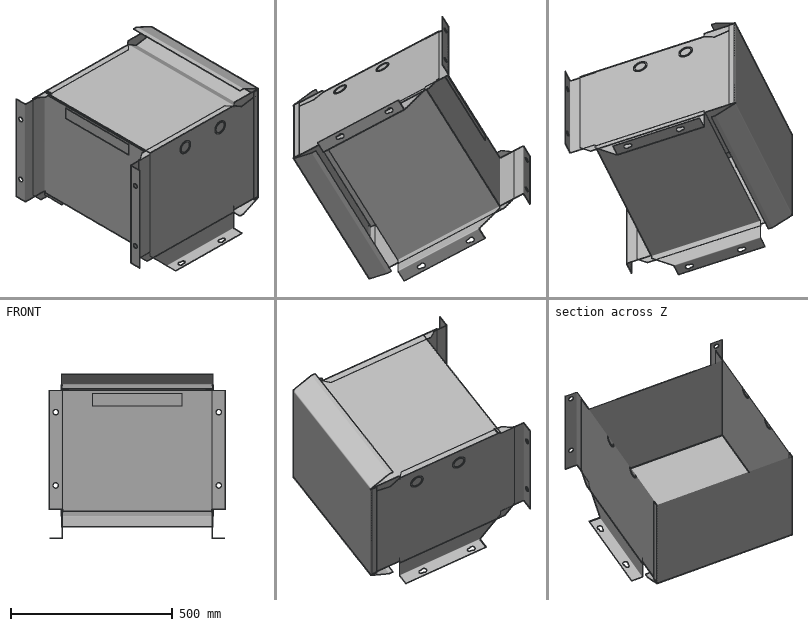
import cadquery as cq
import math


sheet = 1.95
bend_radius = 1.0
cover_bend_radius = 3.0
tight_bend_radius = 0.5

panel_half_width = 235.0
panel_bottom = 63.5
panel_front = 35.0
panel_front_chamfer = 35.0
rear_bottom = 72.0
rear_top = 478.0
rear_corner_radius = 5.5
rail_top = 464.0
rail_width = 22.0
rail_front_chamfer_length = 27.0
rail_front = 69.5
rail_rear_chamfer = 18.5
knockout_outer_radius = 23.0
knockout_inner_radius = 18.0
knockout_depth = sheet / 2
knockout_height = 414.0
knockout_places = (236.5, 388.5)

box_front = 83.5
box_rear = 449.5
depth = 555.5

front_foot_tip = 273.1
front_bottom = 90.5
front_top = 459.5
front_hole_diameter = 16.0
foot_hole_x = 253.0
front_hole_heights = (165.0, 392.0)

pane_width = 278.0
pane_height = 39.0
pane_bottom = 411.5

floor_foot_tip = 270.0
floor_top = 85.5
floor_leg_chamfer = 75.0
keyhole_diameter = 16.0
keyhole_slot_width = 11.5
keyhole_travel = 11.5
keyhole_places = (198.5, 373.5)

gutter_drop = 20.0
gutter_slope = 30.0
gutter_rear_slope = 10.0
gutter_rear = 547.0
roof_clearance = 0.45
slot_length = 21.0
slot_width = 2.0
slot_left = -231.0
slot_front = 92.0

cover_top = 511.0
cover_bottom = 35.5
cover_side_length = 21.5
cover_slope = 25.0
cover_slope_run = 66.5
cover_lip = 14.5

panel_inner = panel_half_width - sheet
leg_inner = panel_inner - sheet
box_back_face = box_front + sheet
cover_half_width = panel_half_width + sheet
roof_half_width = panel_inner - roof_clearance
panel_rear = depth - sheet - cover_bend_radius


def left_normal(start, end):
    """Unit vector pointing left of the direction from start to end."""
    run = end[0] - start[0]
    rise = end[1] - start[1]
    length = math.hypot(run, rise)
    return (-rise / length, run / length)


def shifted_corner(before, corner, after, distance):
    """Corner of the path moved to the left by the distance, keeping both legs parallel."""
    n1 = left_normal(before, corner)
    n2 = left_normal(corner, after)
    scale = distance / (1 + n1[0] * n2[0] + n1[1] * n2[1])
    return (corner[0] + scale * (n1[0] + n2[0]), corner[1] + scale * (n1[1] + n2[1]))


def toward(start, end, distance):
    """Point at the distance from start on the line to end."""
    share = distance / math.dist(start, end)
    return (start[0] + share * (end[0] - start[0]), start[1] + share * (end[1] - start[1]))


def add_rounded_corner(outline, before, corner, after, radius):
    """Continue the outline to the corner and around it on a tangent arc."""
    n1 = left_normal(before, corner)
    n2 = left_normal(corner, after)
    turn = math.acos(n1[0] * n2[0] + n1[1] * n2[1])
    tangent = radius * math.tan(turn / 2)
    middle_gap = radius / math.cos(turn / 2) - radius
    arc_start = toward(corner, before, tangent)
    arc_end = toward(corner, after, tangent)
    chord_middle = ((arc_start[0] + arc_end[0]) / 2, (arc_start[1] + arc_end[1]) / 2)
    arc_middle = toward(corner, chord_middle, middle_gap)
    return outline.lineTo(*arc_start).threePointArc(arc_middle, arc_end)


def folded_sheet(plane, path, inside_radii, length):
    """Sheet folded along the path, its thickness on the left of it, extruded by the length.

    Each fold of the path has its own inside radius.
    """
    last = len(path) - 1
    n_start = left_normal(path[0], path[1])
    n_end = left_normal(path[-2], path[-1])
    other = [(path[0][0] + sheet * n_start[0], path[0][1] + sheet * n_start[1])]
    for i in range(1, last):
        other.append(shifted_corner(path[i - 1], path[i], path[i + 1], sheet))
    other.append((path[-1][0] + sheet * n_end[0], path[-1][1] + sheet * n_end[1]))

    path_radii = []
    for i, inside_radius in enumerate(inside_radii, start=1):
        n1 = left_normal(path[i - 1], path[i])
        n2 = left_normal(path[i], path[i + 1])
        turns_left = n1[0] * n2[1] - n1[1] * n2[0] > 0
        path_radii.append(inside_radius + sheet if turns_left else inside_radius)

    outline = plane.moveTo(*path[0])
    for i in range(1, last):
        outline = add_rounded_corner(outline, path[i - 1], path[i], path[i + 1], path_radii[i - 1])
    outline = outline.lineTo(*path[-1]).lineTo(*other[-1])
    for i in range(last - 1, 0, -1):
        other_radius = 2 * inside_radii[i - 1] + sheet - path_radii[i - 1]
        outline = add_rounded_corner(outline, other[i + 1], other[i], other[i - 1], other_radius)
    return outline.lineTo(*other[0]).close().extrude(length)


def hat_path(foot_tip, height):
    """Left foot, left leg, web, right leg and right foot of a hat section."""
    return [
        (-foot_tip, 0),
        (-leg_inner, 0),
        (-leg_inner, height),
        (leg_inner, height),
        (leg_inner, 0),
        (foot_tip, 0),
    ]


def make_pane():
    """Flat pane that fills the window of the front sheet."""
    pane = cq.Workplane("XY").box(pane_width, sheet, pane_height, centered=(True, False, False))
    return pane.translate((0, box_front, pane_bottom))


def make_front(pane):
    """Front sheet: web standing on the floor, two legs reaching forward and two mounting feet."""
    path = hat_path(front_foot_tip, box_front)
    front = folded_sheet(cq.Workplane("XY", origin=(0, 0, front_bottom)), path, 4 * [bend_radius],
                         front_top - front_bottom)
    web_foot = cq.Workplane("XY").box(2 * (leg_inner - bend_radius), sheet, front_bottom - floor_top,
                                      centered=(True, False, False))
    front = front.union(web_foot.translate((0, box_front, floor_top)))
    hole_centres = [(x, z) for x in (-foot_hole_x, foot_hole_x) for z in front_hole_heights]
    holes = cq.Workplane("XZ").pushPoints(hole_centres).circle(front_hole_diameter / 2).extrude(-sheet)
    return front.cut(holes).cut(pane)


def make_floor():
    """Floor sheet: web, two legs reaching down and two feet with keyholes."""
    path = hat_path(floor_foot_tip, floor_top - sheet)
    floor = folded_sheet(cq.Workplane("XZ", origin=(0, box_rear, 0)), path, 4 * [bend_radius],
                         box_rear - box_back_face)
    wedge = (
        cq.Workplane("YZ", origin=(-floor_foot_tip, 0, 0))
        .polyline([
            (box_back_face, 0),
            (box_back_face + floor_leg_chamfer, 0),
            (box_back_face, floor_leg_chamfer),
        ])
        .close()
        .extrude(2 * floor_foot_tip)
    )
    floor = floor.cut(wedge)
    for x in (-foot_hole_x, foot_hole_x):
        for y in keyhole_places:
            head = cq.Workplane("XY").center(x, y).circle(keyhole_diameter / 2).extrude(sheet)
            slot = (
                cq.Workplane("XY")
                .center(x, y + keyhole_travel / 2)
                .slot2D(keyhole_travel + keyhole_slot_width, keyhole_slot_width, 90)
                .extrude(sheet)
            )
            floor = floor.cut(head).cut(slot)
    return floor


def make_right_panel():
    """Side panel on the +X side: flat plate, inward rail under the roof, two knockout grooves."""
    rail_bend_start = rail_top - sheet - tight_bend_radius
    plate = (
        cq.Workplane("YZ", origin=(panel_inner, 0, 0))
        .moveTo(panel_front + panel_front_chamfer, panel_bottom)
        .lineTo(box_rear, panel_bottom)
        .lineTo(box_rear, rear_bottom)
        .lineTo(panel_rear, rear_bottom)
        .lineTo(panel_rear, rear_top)
        .lineTo(box_rear + rear_corner_radius, rear_top)
        .radiusArc((box_rear, rear_top - rear_corner_radius), -rear_corner_radius)
        .lineTo(box_rear, rail_bend_start)
        .lineTo(panel_front, rail_bend_start)
        .lineTo(panel_front, panel_bottom + panel_front_chamfer)
        .close()
        .extrude(sheet)
    )
    rail_edge = panel_half_width - rail_width
    rail_path = [(panel_half_width, rear_bottom), (panel_half_width, rail_top), (rail_edge, rail_top)]
    rail = folded_sheet(cq.Workplane("XZ", origin=(0, box_rear, 0)), rail_path, [tight_bend_radius],
                        box_rear - panel_front)
    rail_zone = (
        cq.Workplane("XY", origin=(0, 0, rail_bend_start))
        .polyline([
            (panel_half_width, panel_front),
            (panel_inner, panel_front),
            (panel_inner, rail_front - rail_front_chamfer_length),
            (rail_edge, rail_front),
            (rail_edge, box_rear - rail_rear_chamfer),
            (panel_inner, box_rear),
            (panel_half_width, box_rear),
        ])
        .close()
        .extrude(rail_top - rail_bend_start)
    )
    panel = plate.union(rail.intersect(rail_zone))
    grooves = (
        cq.Workplane("YZ", origin=(panel_half_width - knockout_depth, 0, 0))
        .pushPoints([(y, knockout_height) for y in knockout_places])
        .circle(knockout_outer_radius)
        .circle(knockout_inner_radius)
        .extrude(knockout_depth)
    )
    return panel.cut(grooves)


def make_roof():
    """Roof sheet resting on the rails, falling into a V-shaped gutter at the rear."""
    roof_top = rail_top + sheet
    valley_y = box_rear + gutter_drop / math.tan(math.radians(gutter_slope))
    valley_z = roof_top - gutter_drop
    rear_z = valley_z + (gutter_rear - valley_y) * math.tan(math.radians(gutter_rear_slope))
    path = [
        (gutter_rear, rear_z),
        (valley_y, valley_z),
        (box_rear, roof_top),
        (box_front + sheet, roof_top),
    ]
    roof = folded_sheet(cq.Workplane("YZ", origin=(-roof_half_width, 0, 0)), path, 2 * [bend_radius],
                        2 * roof_half_width)
    slot = cq.Workplane("XY").box(slot_length, slot_width, sheet, centered=False)
    return roof.cut(slot.translate((slot_left, slot_front, rail_top)))


def make_cover():
    """Rear cover: plate with side flanges and sloped flanges with lips above and below."""
    middle = (cover_top + cover_bottom) / 2
    fold_corner = cover_top - cover_slope_run * math.tan(math.radians(cover_slope))
    outside_radius = cover_bend_radius + sheet
    plate_top = fold_corner - outside_radius * math.tan(math.radians(90 - cover_slope) / 2)

    flange_front = depth - cover_side_length
    channel_path = [
        (cover_half_width, flange_front),
        (cover_half_width, depth),
        (-cover_half_width, depth),
        (-cover_half_width, flange_front),
    ]
    plate_bottom = 2 * middle - plate_top
    channel = folded_sheet(cq.Workplane("XY", origin=(0, 0, plate_bottom)), channel_path,
                           2 * [cover_bend_radius], plate_top - plate_bottom)

    lip_start = depth - cover_slope_run
    hood_path = [
        (depth, plate_top - sheet),
        (depth, fold_corner),
        (lip_start, cover_top),
        (lip_start - cover_lip, cover_top),
    ]
    hood = folded_sheet(cq.Workplane("YZ", origin=(-panel_half_width, 0, 0)), hood_path,
                        [cover_bend_radius, tight_bend_radius], 2 * panel_half_width)
    return channel.union(hood).union(hood.mirror("XY", (0, 0, middle)))


window_pane = make_pane()
front_sheet = make_front(window_pane)
floor_sheet = make_floor()
right_panel = make_right_panel()
left_panel = right_panel.mirror("YZ")
roof_sheet = make_roof()
rear_cover = make_cover()

result = cq.Compound.makeCompound([
    window_pane.val(),
    front_sheet.val(),
    floor_sheet.val(),
    right_panel.val(),
    left_panel.val(),
    roof_sheet.val(),
    rear_cover.val(),
])